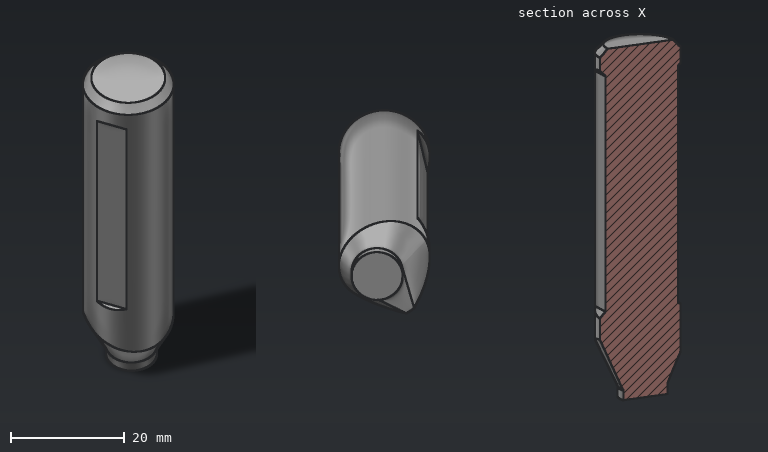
import cadquery as cq
import math

shank_radius = 8.0
total_height = 64.7
top_chamfer = 1.5

pin_radius = 4.5
pin_height = 2.0
pin_offset = 1.05
pin_fillet = 0.2
pin_x = pin_offset
pin_y = -pin_offset

nose_half_angle = 25.0
corner_direction = 154.0
tangent_spread = 66.5

far_side_radius = shank_radius + math.hypot(pin_x, pin_y)
nose_margin = 0.5
nose_height = (far_side_radius - pin_radius) / math.tan(math.radians(nose_half_angle)) + nose_margin

flat_floor_length = 43.0
flat_floor_top = 59.7
flat_floor_bottom = flat_floor_top - flat_floor_length
front_flat_depth = 0.52
back_flat_depth = 1.1
flat_clearance = 1.0


def make_shank():
    """Plain cylinder above the pin with a chamfered top rim."""
    return (
        cq.Workplane("XY", origin=(0, 0, pin_height))
        .circle(shank_radius)
        .extrude(total_height - pin_height)
        .faces(">Z")
        .chamfer(top_chamfer)
    )


def make_flat_cutter(side, depth):
    """Cutter for one flat: a trapezoid in YZ running across X; side is -1 or +1 along Y."""
    floor_y = side * (shank_radius - depth)
    outer_y = side * (shank_radius + flat_clearance)
    flare = depth + flat_clearance
    return (
        cq.Workplane("YZ")
        .moveTo(floor_y, flat_floor_bottom)
        .lineTo(outer_y, flat_floor_bottom - flare)
        .lineTo(outer_y, flat_floor_top + flare)
        .lineTo(floor_y, flat_floor_top)
        .close()
        .extrude(shank_radius, both=True)
    )


def point_from_pin(distance, angle):
    """Point at a distance from the pin axis, in a direction given in degrees."""
    direction = math.radians(angle)
    return (
        pin_x + distance * math.cos(direction),
        pin_y + distance * math.sin(direction),
    )


nose_corner = point_from_pin(pin_radius / math.cos(math.radians(tangent_spread)), corner_direction)
front_tangent = point_from_pin(pin_radius, corner_direction + tangent_spread)
back_tangent = point_from_pin(pin_radius, corner_direction - tangent_spread)


def make_nose_waste():
    """Ring of shank stock outside an upward-widening teardrop: pin circle, two tangents, corner."""
    envelope = (
        cq.Workplane("XY", origin=(0, 0, pin_height))
        .moveTo(*nose_corner)
        .lineTo(*front_tangent)
        .threePointArc(point_from_pin(pin_radius, corner_direction + 180), back_tangent)
        .close()
        .extrude(nose_height, taper=-nose_half_angle)
    )
    return (
        cq.Workplane("XY", origin=(0, 0, pin_height))
        .circle(2 * shank_radius)
        .extrude(nose_height)
        .cut(envelope)
    )


def make_pin():
    """Plain cylindrical pin under the nose."""
    return cq.Workplane("XY").center(pin_x, pin_y).circle(pin_radius).extrude(pin_height)


def make_pin_fillet():
    """Concave root fillet of the pin, kept only between the two tangents where the nose overhangs."""
    fillet_bottom = pin_height - pin_fillet
    fillet_bend = pin_fillet * (1 - math.sqrt(0.5))
    flared_disc = (
        cq.Workplane("XZ")
        .moveTo(0, fillet_bottom)
        .lineTo(pin_radius, fillet_bottom)
        .threePointArc(
            (pin_radius + fillet_bend, pin_height - fillet_bend),
            (pin_radius + pin_fillet, pin_height),
        )
        .lineTo(0, pin_height)
        .close()
        .revolve(360, (0, 0), (0, 1))
        .translate((pin_x, pin_y, 0))
    )
    overhang = (
        cq.Workplane("XY")
        .polyline([nose_corner, front_tangent, (pin_x, pin_y), back_tangent])
        .close()
        .extrude(pin_height)
    )
    return flared_disc.intersect(overhang)


result = (
    make_shank()
    .cut(make_flat_cutter(-1, front_flat_depth))
    .cut(make_flat_cutter(1, back_flat_depth))
    .cut(make_nose_waste())
    .union(make_pin())
    .union(make_pin_fillet())
)